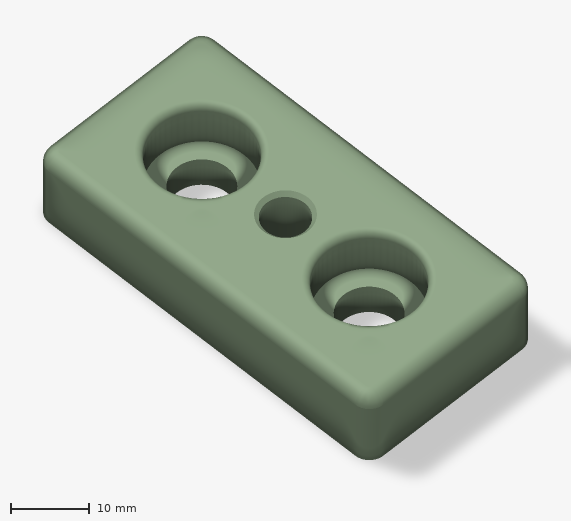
import cadquery as cq

length = 60.0
width = length / 2
height = length / 5
corner_radius = 2.5
top_edge_radius = 2.0

bolt_spacing = length / 2
bolt_hole_diameter = 9.0
counterbore_diameter = 15.0
counterbore_depth = 7.0
counterbore_rim_radius = 1.0

center_hole_diameter = 6.8
center_hole_chamfer = 0.6


def rounded_block():
    """Block standing on Z = 0, with rounded corners and a rounded top edge."""
    block = cq.Workplane("XY").box(length, width, height, centered=(True, True, False))
    return block.edges("|Z").fillet(corner_radius).faces(">Z").edges().fillet(top_edge_radius)


def add_bolt_holes(body):
    """Drill the two counterbored holes and round the rims of the counterbores."""
    drilled = (
        body.faces(">Z")
        .workplane(origin=(0, 0, height))
        .pushPoints([(-bolt_spacing / 2, 0), (bolt_spacing / 2, 0)])
        .cboreHole(bolt_hole_diameter, counterbore_diameter, counterbore_depth)
    )
    rims = drilled.faces(">Z").edges(cq.selectors.RadiusNthSelector(-1))
    return rims.fillet(counterbore_rim_radius)


def add_center_hole(body):
    """Drill the central through hole and chamfer its mouth."""
    drilled = body.faces(">Z").workplane(origin=(0, 0, height)).hole(center_hole_diameter)
    mouth = drilled.faces(">Z").edges(cq.selectors.NearestToPointSelector((0, 0, height)))
    return mouth.chamfer(center_hole_chamfer)


result = add_center_hole(add_bolt_holes(rounded_block()))